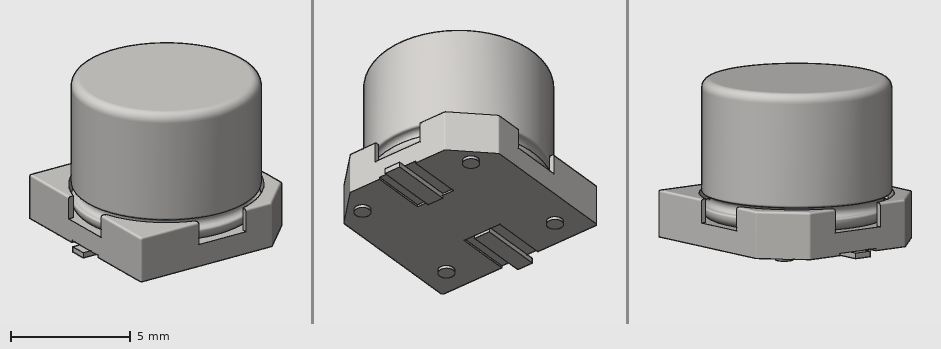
import cadquery as cq
import math

base_width = 8.3
base_bottom = 0.14
base_top = 2.14
corner_cut = 1.62
edge_radius = 0.1

seat_floor = 1.14
seat_clearance = 0.1
notch_width = 2.39

can_radius = 4.0
can_top = 7.02
can_rim_radius = 0.4
groove_height = 1.935
groove_radius = 0.25
groove_lip_radius = 0.1

lead_span = 9.0
lead_width = 0.78
lead_thickness = 0.24
lead_inner_end = 1.575
channel_width = 1.92

foot_diameter = 0.72
foot_x = 2.9
foot_y = 2.84


def block(width, depth, bottom, top):
    """Rectangular block centred on the Z axis between two heights."""
    return (
        cq.Workplane("XY")
        .workplane(offset=bottom)
        .rect(width, depth)
        .extrude(top - bottom)
    )


def make_base():
    """Base block with rounded edges, can seat and side notches."""
    half = base_width / 2
    outline = [
        (-half, -half),
        (half, -half),
        (half, half - corner_cut),
        (half - corner_cut, half),
        (corner_cut - half, half),
        (-half, half - corner_cut),
    ]
    base = (
        cq.Workplane("XY")
        .workplane(offset=base_bottom)
        .polyline(outline)
        .close()
        .extrude(base_top - base_bottom)
        .edges("|Z or >Z")
        .fillet(edge_radius)
    )
    seat = (
        cq.Workplane("XY")
        .workplane(offset=seat_floor)
        .circle(can_radius + seat_clearance)
        .extrude(base_top - seat_floor)
    )
    notch_along_x = block(base_width, notch_width, seat_floor, base_top)
    notch_along_y = block(notch_width, base_width, seat_floor, base_top)
    return base.cut(seat).cut(notch_along_x).cut(notch_along_y)


def make_can():
    """Solid of revolution: rounded rims and a half-round groove with rounded lips."""
    diagonal = math.sqrt(0.5)
    rim_center_x = can_radius - can_rim_radius
    lower_rim_z = seat_floor + can_rim_radius
    upper_rim_z = can_top - can_rim_radius
    lip_center_x = can_radius - groove_lip_radius
    groove_low = groove_height - groove_radius
    groove_high = groove_height + groove_radius
    lower_lip_z = groove_low - groove_lip_radius
    upper_lip_z = groove_high + groove_lip_radius
    rim_offset = can_rim_radius * diagonal
    lip_offset = groove_lip_radius * diagonal

    profile = (
        cq.Workplane("XZ")
        .moveTo(0, seat_floor)
        .lineTo(rim_center_x, seat_floor)
        .threePointArc((rim_center_x + rim_offset, lower_rim_z - rim_offset), (can_radius, lower_rim_z))
        .lineTo(can_radius, lower_lip_z)
        .threePointArc((lip_center_x + lip_offset, lower_lip_z + lip_offset), (lip_center_x, groove_low))
        .threePointArc((lip_center_x - groove_radius, groove_height), (lip_center_x, groove_high))
        .threePointArc((lip_center_x + lip_offset, upper_lip_z - lip_offset), (can_radius, upper_lip_z))
        .lineTo(can_radius, upper_rim_z)
        .threePointArc((rim_center_x + rim_offset, upper_rim_z + rim_offset), (rim_center_x, can_top))
        .lineTo(0, can_top)
        .close()
    )
    return profile.revolve(360, (0, 0, 0), (0, 1, 0))


def make_strip_pair(width, outer_end, bottom):
    """Two strips along Y, on opposite sides, from the lead inner ends outwards."""
    length = outer_end - lead_inner_end
    middle = (outer_end + lead_inner_end) / 2
    return (
        cq.Workplane("XY")
        .workplane(offset=bottom)
        .pushPoints([(0, -middle), (0, middle)])
        .rect(width, length)
        .extrude(lead_thickness - bottom)
    )


def make_feet():
    """Four short round feet reaching down to the level of the leads."""
    return (
        cq.Workplane("XY")
        .rect(2 * foot_x, 2 * foot_y, forConstruction=True)
        .vertices()
        .circle(foot_diameter / 2)
        .extrude(base_bottom)
    )


channels = make_strip_pair(channel_width, base_width / 2, base_bottom)
leads = make_strip_pair(lead_width, lead_span / 2, 0)

result = make_base().cut(channels).union(make_can()).union(leads).union(make_feet())